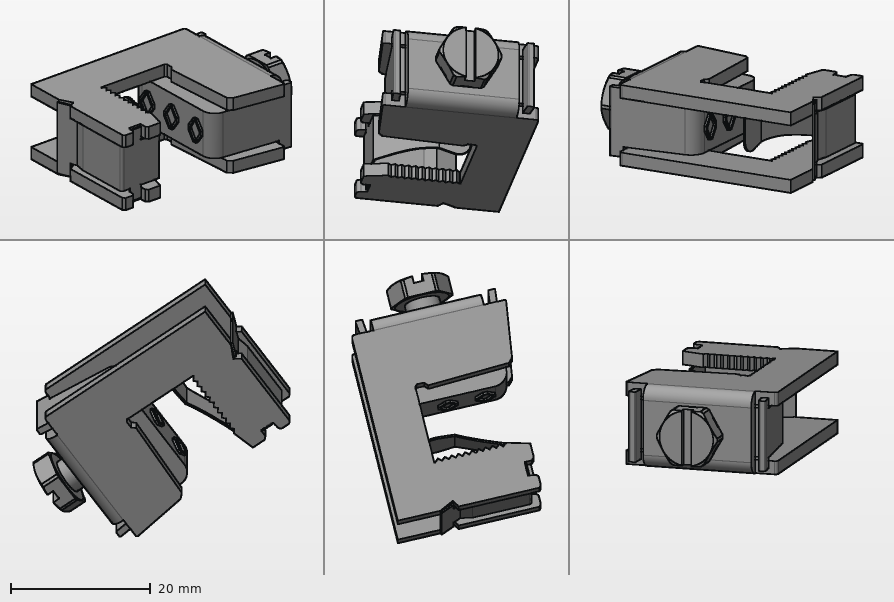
import cadquery as cq
import math


overall_height = 12.0
plate_thickness = 1.95
plate_width = 22.75
plate_top = 28.28
center_x = 11.38

jaw_x = 7.1
lower_jaw_x = 21.1
tooth_pitch = 1.0
tooth_count = 11
tooth_root_y = 7.15
tooth_tip_y = 7.63
first_tooth_x = 7.75

web_length = 16.23
web_top = 30.3
web_bend_radius = 2.0

block_half_height = 3.6
block_bottom = 16.75
block_bottom_half_width = 8.9
block_taper = 0.1
block_corner_radius = 2.15
ear_top = 30.45
ear_width = 1.05
ear_half_height = 5.15
ear_corner_radius = 0.18

boss_pitch = 5.5
boss_height = 0.35

screw_top = 35.35
head_bottom = 32.4
head_across_flats = 8.1
head_across_corners = 9.05
head_chamfer_radius = 4.03
head_chamfer_height = 0.32
collar_diameter = 7.95
collar_height = 0.07
shank_diameter = 5.1
slot_width = 1.43
slot_depth = 1.05

strip_thickness = 0.3
strip_wall_x = 19.9
strip_floor_y = 0.55
strip_top_y = 11.4
strip_end_x = 6.42
tongue_bend_x = 11.1
strip_bend_radius = 0.43
lip_tip = (6.35, -0.32)
lip_bend = (9.38, 0.9)
lip_half_height = 5.67
lip_wide_end_x = 8.3
tab_bottom = 2.18
tab_top = 4.15

half_height = overall_height / 2
plate_inner_z = half_height - plate_thickness


def slab(profile, half):
    """Extrude an XY outline symmetrically about Z = 0."""
    return profile.extrude(half, both=True)


def box(x0, x1, y0, y1, half):
    """Box between two X and two Y positions, symmetric about Z = 0."""
    return cq.Workplane("XY").box(x1 - x0, y1 - y0, 2 * half).translate(((x0 + x1) / 2, (y0 + y1) / 2, 0))


def cross_section(y):
    """Sketch plane across the screw axis; a negative extrusion runs toward +Y."""
    return cq.Workplane("XZ", origin=(center_x, y, 0))


def plate_outline():
    upper = [
        (0, 0),
        (0, plate_top),
        (plate_width, plate_top),
        (21.57, 19.72),
        (20.95, 19.05),
        (8.95, 18.5),
        (8.45, 19.05),
        (7.38, 19.05),
        (jaw_x, 18.75),
        (jaw_x, tooth_root_y),
    ]
    teeth = []
    for i in range(tooth_count):
        tip_x = first_tooth_x + i * tooth_pitch
        teeth.append((tip_x - tooth_pitch / 2, tooth_root_y))
        teeth.append((tip_x, tooth_tip_y))
    latch_notch_x = 19.65
    jaw_end_upper = [
        (lower_jaw_x, 6.7),
        (lower_jaw_x, 4.6),
        (lower_jaw_x - 0.4, 4.2),
        (latch_notch_x, 4.2),
        (latch_notch_x, 2.15),
        (20.55, 2.0),
    ]
    lip_notch = [
        (lower_jaw_x, 0.32),
        (lower_jaw_x - 0.32, 0),
        (8.95, 0),
        (8.3, 1.0),
        (6.3, 0),
    ]
    outline = cq.Workplane("XY").polyline(upper + teeth + jaw_end_upper)
    outline = outline.threePointArc((20.97, 1.82), (lower_jaw_x, 1.5))
    for point in lip_notch:
        outline = outline.lineTo(*point)
    return outline.close()


def side_plates():
    back_corner_radius = 0.45
    front_corner_radius = 0.25
    plates = slab(plate_outline(), half_height)
    plates = plates.edges("|Z and >X").fillet(front_corner_radius)
    plates = plates.edges(cq.selectors.NearestToPointSelector((0, plate_top, 0))).fillet(back_corner_radius)
    gap = box(0, plate_width, 0, plate_top, plate_inner_z)
    return plates.cut(gap)


def web():
    body = box(center_x - web_length / 2, center_x + web_length / 2, plate_top, web_top, half_height)
    return body.edges("|X and >Y").fillet(web_bend_radius)


def block_half_width(y):
    return block_bottom_half_width + block_taper * (y - block_bottom)


def pressure_block():
    low = block_half_width(block_bottom)
    high = block_half_width(plate_top)
    outline = cq.Workplane("XY").polyline([
        (center_x - low, block_bottom),
        (center_x + low, block_bottom),
        (center_x + high, plate_top),
        (center_x - high, plate_top),
    ]).close()
    block = slab(outline, block_half_height).edges("|Z and <Y").fillet(block_corner_radius)
    return block.union(right_ear()).union(right_ear().mirror("YZ", (center_x, 0, 0)))


def right_ear():
    root = center_x + block_half_width(plate_top)
    tip = center_x + block_half_width(ear_top)
    outline = cq.Workplane("XY").polyline([
        (root - ear_width, plate_top),
        (root, plate_top),
        (tip, ear_top),
        (tip - ear_width, ear_top),
    ]).close()
    return slab(outline, ear_half_height).edges("|Z and >Y").fillet(ear_corner_radius)


def stretched_octagon(half_x, half_z, flat_x, flat_z):
    """Corner points of a diamond whose four tips are cut flat."""
    quarter = [(half_x, flat_z), (flat_x, half_z)]
    left = [(-x, z) for x, z in reversed(quarter)]
    upper = quarter + left
    return upper + [(-x, -z) for x, z in upper]


def grip_bosses():
    outer = stretched_octagon(1.45, 1.9, 0.32, 0.35)
    inner = stretched_octagon(1.1, 1.57, 0.18, 0.18)
    boss = cross_section(block_bottom).polyline(outer).close().polyline(inner).close().extrude(boss_height)
    bosses = boss
    for side in (-1, 1):
        bosses = bosses.add(boss.translate((side * boss_pitch, 0, 0)))
    return bosses.combine()


def screw():
    head_height = screw_top - head_bottom
    hexagon_diameter = head_across_flats / math.cos(math.pi / 6)
    trim_diameter = head_across_corners / math.cos(math.pi / 6)
    head = cross_section(head_bottom).polygon(6, hexagon_diameter).extrude(-head_height)
    corner_trim = cross_section(head_bottom).transformed(rotate=(0, 0, 30)).polygon(6, trim_diameter)
    head = head.intersect(corner_trim.extrude(-head_height))

    rim_radius = hexagon_diameter / 2
    turned = (
        cq.Workplane("XY", origin=(center_x, 0, 0))
        .moveTo(0, head_bottom)
        .lineTo(rim_radius, head_bottom)
        .lineTo(rim_radius, screw_top - head_chamfer_height)
        .lineTo(head_chamfer_radius, screw_top)
        .lineTo(0, screw_top)
        .close()
        .revolve(360, (0, 0, 0), (0, 1, 0))
    )
    head = head.intersect(turned)
    slot = box(center_x - slot_width / 2, center_x + slot_width / 2, screw_top - slot_depth, screw_top,
               hexagon_diameter)
    collar = cross_section(head_bottom).circle(collar_diameter / 2).extrude(collar_height)
    shank = cross_section(plate_top).circle(shank_diameter / 2).extrude(plate_top - head_bottom)
    return head.cut(slot).union(collar).union(shank)


def offset_left(path, distance):
    """Points of an open path shifted to its left by a distance, with mitred corners."""
    angles = []
    for (x0, y0), (x1, y1) in zip(path, path[1:]):
        angles.append(math.atan2(y1 - y0, x1 - x0))
    shifted = []
    for i, (x, y) in enumerate(path):
        before = angles[max(i - 1, 0)]
        after = angles[min(i, len(angles) - 1)]
        middle = (before + after) / 2
        reach = distance / math.cos((after - before) / 2)
        shifted.append((x - reach * math.sin(middle), y + reach * math.cos(middle)))
    return shifted


def sheet(path, half):
    """Sheet of strip thickness whose outer face follows the path."""
    inner = offset_left(path, strip_thickness)
    return slab(cq.Workplane("XY").polyline(path + inner[::-1]).close(), half)


def tongue_plan():
    """Solid with the tongue's waisted shape seen along Y, used to trim the sheet."""
    half_width = 3.5
    end_radius = 1.85
    end_half_flat = half_width - end_radius
    shoulder_x = 8.55
    neck = (tongue_bend_x, 2.78)
    waist = (14.48, 2.53)
    flare = (17.1, 2.92)
    upper_half = (
        cq.Workplane("XZ")
        .moveTo(strip_end_x, 0)
        .lineTo(strip_end_x, end_half_flat)
        .radiusArc((strip_end_x + end_radius, half_width), end_radius)
        .lineTo(shoulder_x, half_width)
        .lineTo(*neck)
        .spline([waist, flare, (strip_wall_x, block_half_height)], includeCurrent=True)
        .lineTo(strip_wall_x, 0)
        .close()
        .extrude(-strip_top_y)
    )
    return upper_half.union(upper_half.mirror("XY"))


def spring_strip():
    wall_top = (strip_wall_x, 7.45)
    lower_path = [lip_tip, lip_bend, (11.1, strip_floor_y), (strip_wall_x, strip_floor_y), wall_top]
    tongue_path = [
        (strip_wall_x, tab_top),
        wall_top,
        (tongue_bend_x, strip_top_y),
        (strip_end_x, strip_top_y),
    ]
    lower = sheet(lower_path, block_half_height)
    floor_corner = cq.selectors.NearestToPointSelector((strip_wall_x, strip_floor_y, 0))
    lower = lower.edges(floor_corner).fillet(strip_bend_radius)

    tongue = sheet(tongue_path, block_half_height).intersect(tongue_plan())

    lip = sheet([lip_tip, lip_bend], lip_half_height)
    lip = lip.intersect(box(0, lip_wide_end_x, lip_tip[1], lip_bend[1], lip_half_height))
    tabs = box(strip_wall_x - strip_thickness, strip_wall_x, tab_bottom, tab_top, lip_half_height)
    return lower.union(tongue).union(lip).union(tabs)


result = (
    side_plates()
    .union(web())
    .union(pressure_block())
    .union(grip_bosses())
    .union(screw())
    .union(spring_strip())
)